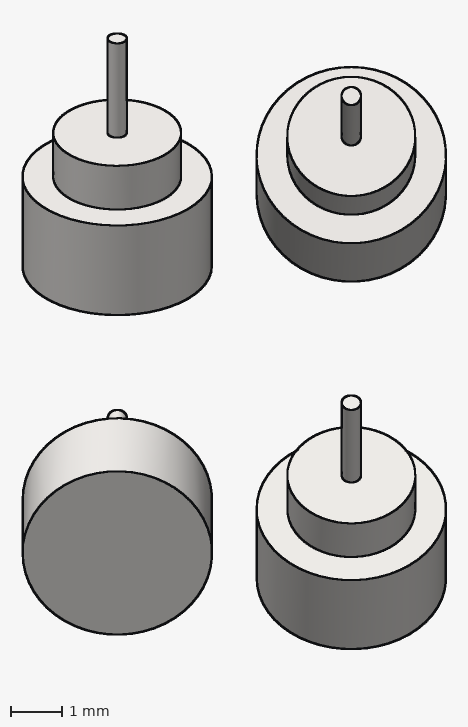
import cadquery as cq

total_height = 5.2

base_diameter = 3.7
base_height = 2.05

collar_diameter = 2.5
collar_height = 1.0

pin_diameter = 0.38
pin_height = total_height - base_height - collar_height

base = cq.Workplane("XY").circle(base_diameter / 2).extrude(base_height)
with_collar = base.faces(">Z").workplane().circle(collar_diameter / 2).extrude(collar_height)
result = with_collar.faces(">Z").workplane().circle(pin_diameter / 2).extrude(pin_height)